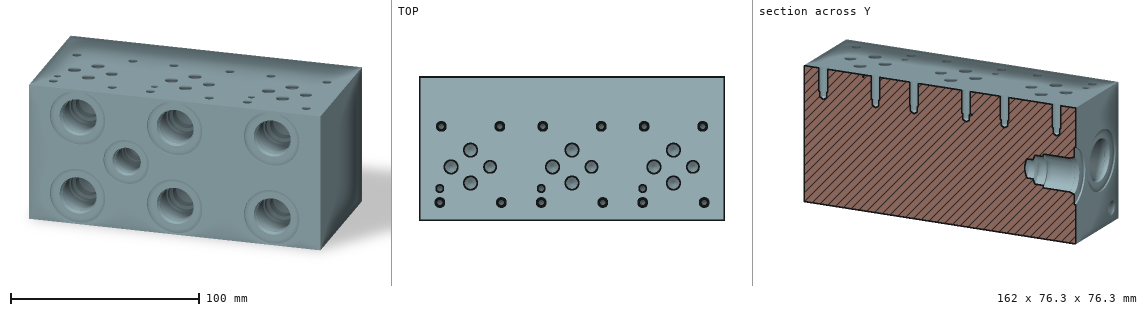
import cadquery as cq
import math

LENGTH = 162.0
WIDTH = 76.3
HEIGHT = 76.3

DRILL_POINT_ANGLE = 118.0

STATION_PITCH = 54.0
STATIONS = [-STATION_PITCH, 0.0, STATION_PITCH]

WORK_SPOTFACE = 30.6
WORK_MOUTH = 20.5
WORK_MOUTH_END = 19.3
WORK_THREAD = 19.1
WORK_TAP_DRILL = 17.5
WORK_PASSAGE = 14.2
WORK_OFFSET_Z = 22.2

GAUGE_SPOTFACE = 25.1
GAUGE_MOUTH = 15.9
GAUGE_MOUTH_END = 14.5
GAUGE_THREAD = 14.2
GAUGE_TAP_DRILL = 13.1
GAUGE_PASSAGE = 12.3
GAUGE_X = -STATION_PITCH / 2

FRONT_THREAD_DEPTH = 16.2
FRONT_TAP_DEPTH = 19.5
FRONT_PASSAGE_DEPTH = 25.9

MAIN_SPOTFACE = 34.2
MAIN_MOUTH = 23.8
MAIN_MOUTH_END = 22.5
MAIN_THREAD = 22.2
MAIN_TAP_DRILL = 19.9
MAIN_PASSAGE = 15.9
MAIN_OFFSET_Y = 17.8
MAIN_THREAD_DEPTH = 19.5
MAIN_TAP_DEPTH = 24.3
MAIN_PASSAGE_DEPTH = 29.1
PRESSURE_TIP = 9.5
PRESSURE_TIP_ANGLE = 45.0

SPOTFACE_DEPTH = 1.0
MOUTH_DEPTH = 2.5

MOUNT_THREAD = 8.0
MOUNT_DRILL = 6.5
MOUNT_OFFSET = 30.1
MOUNT_THREAD_DEPTH = 14.5
MOUNT_DRILL_DEPTH = 17.8

REAR_BOLT_Y = 11.8
BOLT_ROW_SPACING = 40.5
REAR_BOLT_X = 15.5
FRONT_BOLT_X = 16.4
BOLT_THREAD = 4.9
BOLT_DRILL = 3.7
BOLT_THREAD_DEPTH = 13.0
BOLT_DRILL_DEPTH = 16.2
DOWEL_DIAMETER = 3.9
DOWEL_FROM_REAR = 33.0
DOWEL_DEPTH = 6.5
PORT_DIAMETER = 7.1
SMALL_PORT_DIAMETER = 6.5
PORT_DEPTH = 2.0
REAR_PORT_FROM_REAR = 12.6
SIDE_PORT_FROM_REAR = 21.5
FRONT_PORT_FROM_REAR = 30.1
SIDE_PORT_X = 10.4


def cone_length(wide, narrow, angle=DRILL_POINT_ANGLE):
    """Length of a cone of the given full angle between two diameters."""
    return (wide - narrow) / 2 / math.tan(math.radians(angle / 2))


def revolved_hole(steps, tip_angle=DRILL_POINT_ANGLE):
    """Blind hole cut down from z = 0, from (diameter, depth) corners, closed by a cone."""
    first_diameter = steps[0][0]
    last_diameter, last_depth = steps[-1]
    tip_depth = last_depth + cone_length(last_diameter, 0, tip_angle)
    outline = [(0, 0), (first_diameter / 2, 0)]
    outline += [(diameter / 2, -depth) for diameter, depth in steps]
    outline.append((0, -tip_depth))
    return cq.Workplane("XZ").polyline(outline).close().revolve(360, (0, 0, 0), (0, 1, 0))


def port_steps(spotface, mouth, mouth_end, thread, tap_drill, passage, depths):
    """Corners of a straight-thread port; depths are those of thread, tap drill and passage."""
    thread_depth, tap_depth, passage_depth = depths
    mouth_bottom = SPOTFACE_DEPTH + MOUTH_DEPTH
    return [
        (spotface, SPOTFACE_DEPTH),
        (mouth, SPOTFACE_DEPTH),
        (mouth_end, mouth_bottom),
        (thread, mouth_bottom),
        (thread, thread_depth),
        (tap_drill, thread_depth),
        (tap_drill, tap_depth),
        (passage, tap_depth + cone_length(tap_drill, passage)),
        (passage, passage_depth),
    ]


def tapped_hole(thread, drill, thread_depth, drill_depth):
    return revolved_hole([(thread, thread_depth), (drill, thread_depth), (drill, drill_depth)])


def on_front(hole, x, z):
    """Turn a hole to enter the front face (-Y) at x, z."""
    return hole.rotate((0, 0, 0), (1, 0, 0), 90).translate((x, -WIDTH / 2, z))


def on_left(hole, y, z):
    """Turn a hole to enter the left face (-X) at y, z."""
    return hole.rotate((0, 0, 0), (0, 1, 0), -90).translate((-LENGTH / 2, y, z))


def on_top(hole, x, y):
    """Move a hole to enter the top face at x, y."""
    return hole.translate((x, y, HEIGHT / 2))


def front_ports():
    depths = (FRONT_THREAD_DEPTH, FRONT_TAP_DEPTH, FRONT_PASSAGE_DEPTH)
    work = revolved_hole(port_steps(
        WORK_SPOTFACE, WORK_MOUTH, WORK_MOUTH_END, WORK_THREAD, WORK_TAP_DRILL, WORK_PASSAGE, depths
    ))
    gauge = revolved_hole(port_steps(
        GAUGE_SPOTFACE, GAUGE_MOUTH, GAUGE_MOUTH_END, GAUGE_THREAD, GAUGE_TAP_DRILL, GAUGE_PASSAGE, depths
    ))
    holes = [on_front(work, x, z) for x in STATIONS for z in (-WORK_OFFSET_Z, WORK_OFFSET_Z)]
    holes.append(on_front(gauge, GAUGE_X, 0))
    return holes


def main_ports():
    depths = (MAIN_THREAD_DEPTH, MAIN_TAP_DEPTH, MAIN_PASSAGE_DEPTH)
    steps = port_steps(
        MAIN_SPOTFACE, MAIN_MOUTH, MAIN_MOUTH_END, MAIN_THREAD, MAIN_TAP_DRILL, MAIN_PASSAGE, depths
    )
    tip_start = MAIN_PASSAGE_DEPTH + cone_length(MAIN_PASSAGE, PRESSURE_TIP)
    tank = revolved_hole(steps)
    pressure = revolved_hole(steps + [(PRESSURE_TIP, tip_start)], PRESSURE_TIP_ANGLE)
    return [on_left(tank, MAIN_OFFSET_Y, 0), on_left(pressure, -MAIN_OFFSET_Y, 0)]


def mounting_holes():
    hole = tapped_hole(MOUNT_THREAD, MOUNT_DRILL, MOUNT_THREAD_DEPTH, MOUNT_DRILL_DEPTH)
    return [on_left(hole, y, -MOUNT_OFFSET) for y in (-MOUNT_OFFSET, MOUNT_OFFSET)]


def valve_station(x):
    """Bolts, locating dowel and four flow ports of one valve interface."""
    bolt = tapped_hole(BOLT_THREAD, BOLT_DRILL, BOLT_THREAD_DEPTH, BOLT_DRILL_DEPTH)
    dowel = revolved_hole([(DOWEL_DIAMETER, DOWEL_DEPTH)])
    port = revolved_hole([(PORT_DIAMETER, PORT_DEPTH)])
    small_port = revolved_hole([(SMALL_PORT_DIAMETER, PORT_DEPTH)])
    front_bolt_y = REAR_BOLT_Y - BOLT_ROW_SPACING
    side_port_y = REAR_BOLT_Y - SIDE_PORT_FROM_REAR

    holes = []
    for side in (-1, 1):
        holes.append(on_top(bolt, x + side * REAR_BOLT_X, REAR_BOLT_Y))
        holes.append(on_top(bolt, x + side * FRONT_BOLT_X, front_bolt_y))
    holes.append(on_top(dowel, x - FRONT_BOLT_X, REAR_BOLT_Y - DOWEL_FROM_REAR))
    holes.append(on_top(port, x, REAR_BOLT_Y - REAR_PORT_FROM_REAR))
    holes.append(on_top(port, x, REAR_BOLT_Y - FRONT_PORT_FROM_REAR))
    holes.append(on_top(port, x - SIDE_PORT_X, side_port_y))
    holes.append(on_top(small_port, x + SIDE_PORT_X, side_port_y))
    return holes


all_holes = front_ports() + main_ports() + mounting_holes()
for station_x in STATIONS:
    all_holes += valve_station(station_x)

result = cq.Workplane("XY").box(LENGTH, WIDTH, HEIGHT)
for hole in all_holes:
    result = result.cut(hole)